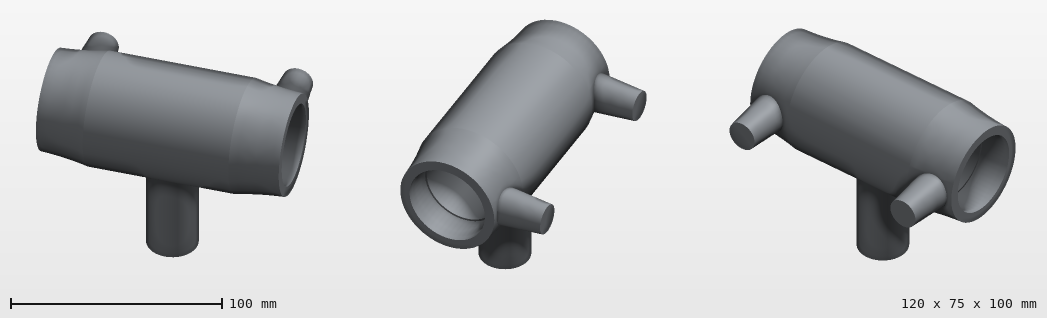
import cadquery as cq
import math

overall_width = 75.0
overall_height = 100.0

tube_length = 120.0
tube_radius = 56.0 / 2
flare_length = 24.0
end_radius = 50.0 / 2
flare_arc_radius = 150.0

bore_radius = 38.0 / 2
socket_radius = 40.0 / 2
socket_seam_depth = 12.0
socket_depth = 16.0

branch_radius = 25.0 / 2
branch_end_z = tube_radius - overall_height

terminal_end_y = overall_width - tube_radius
terminal_tip_radius = 15.0 / 2
terminal_taper = 5.0
terminal_offset = tube_length / 2 - flare_length / 2

half_length = tube_length / 2
shoulder_x = half_length - flare_length


def flare_middle():
    """Axial offset from the end face and radius at the middle of the concave arc."""
    rise = tube_radius - end_radius
    chord = math.hypot(flare_length, rise)
    sagitta = flare_arc_radius - math.sqrt(flare_arc_radius**2 - (chord / 2) ** 2)
    offset = flare_length / 2 + sagitta * rise / chord
    radius = (tube_radius + end_radius) / 2 - sagitta * flare_length / chord
    return offset, radius


def make_tube():
    """Revolve the outer outline of the tube about the X axis."""
    mid_offset, mid_radius = flare_middle()
    mid_x = half_length - mid_offset
    return (
        cq.Workplane("XY")
        .moveTo(-half_length, 0)
        .lineTo(-half_length, end_radius)
        .threePointArc((-mid_x, mid_radius), (-shoulder_x, tube_radius))
        .lineTo(shoulder_x, tube_radius)
        .threePointArc((mid_x, mid_radius), (half_length, end_radius))
        .lineTo(half_length, 0)
        .close()
        .revolve(360, (0, 0, 0), (1, 0, 0))
    )


def make_bore():
    """Revolve the stepped bore about the X axis, keeping the seams in the socket walls."""
    seam_x = half_length - socket_seam_depth
    step_x = half_length - socket_depth
    half_outline = [
        (half_length, socket_radius),
        (seam_x, socket_radius),
        (step_x, socket_radius),
        (step_x, bore_radius),
    ]
    mirrored = [(-x, radius) for x, radius in reversed(half_outline)]
    outline = [(half_length, 0)] + half_outline + mirrored + [(-half_length, 0)]
    profile = cq.Workplane("XY").polyline(outline).close()
    return profile.revolve(360, (0, 0, 0), (1, 0, 0), clean=False)


def make_branch():
    """Straight pipe from the tube axis down to the branch end."""
    return cq.Workplane("XY").circle(branch_radius).extrude(branch_end_z)


def make_terminal(center_x):
    """Cone from the tube axis to its tip on the +Y side."""
    base_radius = terminal_tip_radius + terminal_end_y * math.tan(math.radians(terminal_taper))
    cone = cq.Solid.makeCone(
        base_radius,
        terminal_tip_radius,
        terminal_end_y,
        cq.Vector(center_x, 0, 0),
        cq.Vector(0, 1, 0),
    )
    return cq.Workplane(cone)


body = make_tube().union(make_branch())
for side in (-1, 1):
    body = body.union(make_terminal(side * terminal_offset))

result = body.cut(make_bore(), clean=False)